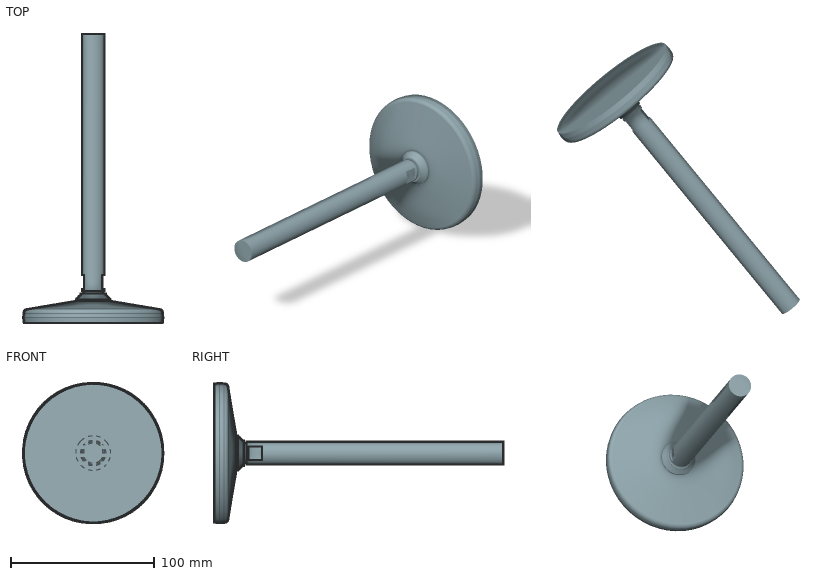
import cadquery as cq
import math

overall_length = 202.0
base_y = -overall_length / 2

foot_radius = 98.0 / 2
underside_radius = 48.5
seam_height = 3.8
rim_height = 6.9
rim_top_radius = 48.7
shoulder_fillet = 3.0
shoulder_height = rim_height + shoulder_fillet
shoulder_radius = rim_top_radius - shoulder_fillet
cone_top_height = 15.4
cone_top_radius = 13.1
hub_radius = 12.1
hub_band_height = 16.5
hub_top_height = 20.6
hub_top_radius = 8.0
lip_radius = 8.9
lip_top_height = 20.8

stem_radius = 16.0 / 2
neck_radius = 7.0
stem_bottom_height = 22.6
flat_bottom_height = 24.0
flat_top_height = 33.5
flat_spacing = 13.0


def revolve_about_y(profile):
    """Turn a closed radius-height profile into a round body on the Y axis."""
    body = profile.close().revolve(360, (0, 0, 0), (0, 1, 0))
    return body.translate((0, base_y, 0))


def make_foot():
    arc_offset = shoulder_fillet * math.sqrt(0.5)
    shoulder_middle = (
        shoulder_radius + arc_offset,
        rim_height + arc_offset,
    )
    profile = (
        cq.Workplane("XY")
        .lineTo(underside_radius, 0)
        .lineTo(foot_radius, seam_height)
        .lineTo(rim_top_radius, rim_height)
        .threePointArc(shoulder_middle, (shoulder_radius, shoulder_height))
        .lineTo(cone_top_radius, cone_top_height)
        .lineTo(hub_radius, cone_top_height)
        .lineTo(hub_radius, hub_band_height)
        .lineTo(hub_top_radius, hub_top_height)
        .lineTo(lip_radius, hub_top_height)
        .lineTo(lip_radius, lip_top_height)
        .lineTo(0, lip_top_height)
    )
    return revolve_about_y(profile)


def make_stem():
    profile = (
        cq.Workplane("XY")
        .moveTo(0, lip_top_height)
        .lineTo(neck_radius, lip_top_height)
        .lineTo(neck_radius, stem_bottom_height)
        .lineTo(stem_radius, stem_bottom_height)
        .lineTo(stem_radius, overall_length)
        .lineTo(0, overall_length)
    )
    stem = revolve_about_y(profile)

    flat_length = flat_top_height - flat_bottom_height
    flat_middle_y = base_y + (flat_top_height + flat_bottom_height) / 2
    for side in (-1, 1):
        cutter_x = side * (flat_spacing / 2 + stem_radius / 2)
        cutter = cq.Workplane("XY").box(stem_radius, flat_length, 2 * stem_radius)
        stem = stem.cut(cutter.translate((cutter_x, flat_middle_y, 0)))
    return stem


foot = make_foot()
stem = make_stem()
result = cq.Compound.makeCompound([foot.val(), stem.val()])